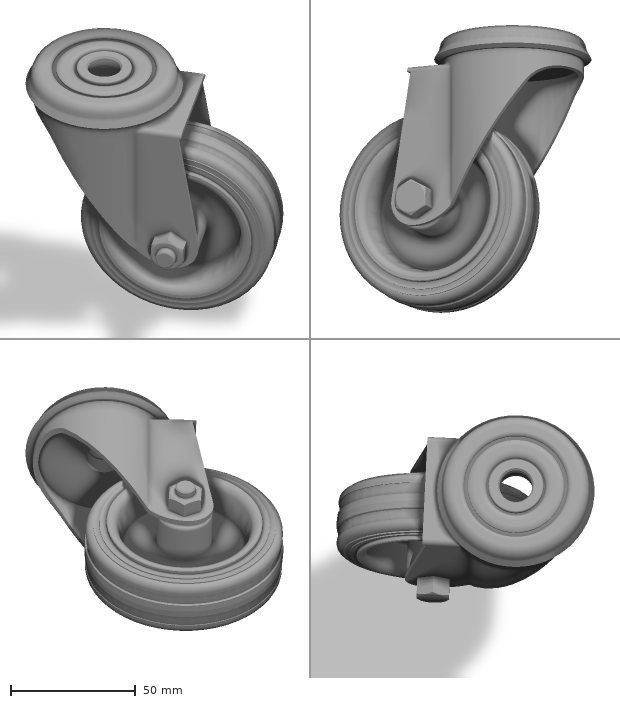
import cadquery as cq
import math

swivel_angle = 12.0
total_height = 108.0
trail = 32.0
wheel_radius = 40.0
axle_height = wheel_radius

head_radius = 31.5
head_bottom = 98.3
head_rim_height = 99.6
head_base_radius = 29.2
head_flare_radius = 29.9
head_flare_height = 102.4
head_shoulder_radius = 29.6
head_shoulder_height = 103.1
head_crown_radius = 29.3
head_crown_height = 104.8
head_flat_radius = 25.1
groove_outer_radius = 45.1 / 2
groove_floor_outer = 21.0
groove_floor_inner = 19.2
groove_floor_height = 106.4
groove_wall_top = 107.0
ring_outer_radius = 17.0
ring_inner_radius = 14.6
ring_height = 107.8
boss_radius = 22.1 / 2
boss_edge_round = 0.6
boss_groove_outer = 11.7
boss_groove_height = 106.3
bolt_hole_radius = 13.2 / 2
bolt_hole_mouth_radius = 14.5 / 2
bolt_hole_mouth_depth = 0.9
bolt_hole_depth = 4.0
head_bore_radius = bolt_hole_mouth_radius

sheet = 2.0
cup_radius = 57.0 / 2
cup_edge_fillet = 0.6
arm_outer = 22.5
arm_inner = arm_outer - sheet
shelf_top = 95.3
shelf_end = 36.5
shelf_bend = 1.9
cup_bend = 1.6
arm_top_end = 35.0
arm_tip_x = 33.5
arm_tip_radius = 9.9
mouth_height = 92.9
mouth_radius = 16.7
heel_radius = 22.0
front_edge_angle = 55.8
axle_hole_radius = 8.3 / 2

hub_radius = 22.2 / 2
hub_half = 19.4
hub_end_fillet = 1.4
hub_root_radius = 14.0
web_half = 1.5
web_radius = 23.2
wall_root_radius = 24.5
wall_root_half = 2.8
wall_lip_radius = 27.0
wall_lip_half = 11.6
rim_flat_radius = 29.6
rim_radius = 62.5 / 2
rim_half = 14.0
rim_edge_chamfer = 0.3
rim_groove_half = 12.2
flank_inner_radius = 32.0
flank_half = 12.4
ridges = ((33.3, 34.2), (35.6, 36.7))
ridge_rise = 0.2
flank_drop = 0.3
tread_shoulder_half = 8.9
tread_shoulder_radius = 39.5
tread_shoulder_round = 2.9
groove_outer_half = 7.6
groove_inner_half = 3.3
groove_radius = 39.1
crown_half = 2.9
crown_edge_radius = 39.7

shank_radius = 8.0 / 2
shank_end = 32.4
shank_chamfer = 0.5
hex_sides = 6
hex_flats = 13.0
hex_chamfer_radius = 12.3 / 2
hex_chamfer_angle = 30.0
head_thickness = 7.3
nut_thickness = 6.8
nut_turn = 3.0


def make_head():
    """Domed disc with two ring grooves around a central boss, bored for the fixing bolt."""
    flank_run = groove_floor_inner - ring_outer_radius
    flank_rise = ring_height - groove_wall_top
    ring_crest_radius = (flank_run**2 + flank_rise**2) / (2 * flank_rise)
    dome = (
        cq.Workplane("XZ")
        .moveTo(head_bore_radius, head_bottom)
        .lineTo(head_base_radius, head_bottom)
        .lineTo(head_radius, head_rim_height)
        .lineTo(head_flare_radius, head_flare_height)
        .tangentArcPoint((head_shoulder_radius, head_shoulder_height), relative=False)
        .lineTo(head_crown_radius, head_crown_height)
        .tangentArcPoint((head_flat_radius, total_height), relative=False)
        .lineTo(groove_outer_radius, total_height)
        .tangentArcPoint((groove_floor_outer, groove_wall_top), relative=False)
        .lineTo(groove_floor_outer, groove_floor_height)
        .lineTo(groove_floor_inner, groove_floor_height)
        .lineTo(groove_floor_inner, groove_wall_top)
        .radiusArc((ring_outer_radius, ring_height), -ring_crest_radius)
        .lineTo(ring_inner_radius, ring_height)
        .tangentArcPoint((boss_groove_outer, boss_groove_height), relative=False)
        .lineTo(boss_radius, boss_groove_height)
        .lineTo(boss_radius, total_height - boss_edge_round)
        .tangentArcPoint((boss_radius - boss_edge_round, total_height), relative=False)
        .lineTo(bolt_hole_mouth_radius, total_height)
        .lineTo(bolt_hole_radius, total_height - bolt_hole_mouth_depth)
        .lineTo(bolt_hole_radius, total_height - bolt_hole_depth)
        .lineTo(head_bore_radius, total_height - bolt_hole_depth)
        .close()
    )
    return dome.revolve(360, (0, 0, 0), (0, 1, 0))


def fork_side_outline():
    """Side outline of the fork, extruded right across its width."""
    slope = math.radians(front_edge_angle)
    shelf_bottom = shelf_top - sheet
    tip_bottom = axle_height - arm_tip_radius

    heel_x = arm_tip_x - heel_radius * math.sin(slope)
    heel_z = tip_bottom + heel_radius * (1 - math.cos(slope))
    slope_top_z = mouth_height - mouth_radius * (1 - math.cos(slope))
    slope_top_x = heel_x - (slope_top_z - heel_z) / math.tan(slope)
    mouth_x = slope_top_x - mouth_radius * math.sin(slope)

    rise = shelf_bottom - axle_height
    run = arm_top_end - arm_tip_x
    contact = math.atan2(rise, run) - math.acos(arm_tip_radius / math.hypot(rise, run))
    contact_x = arm_tip_x + arm_tip_radius * math.cos(contact)
    contact_z = axle_height + arm_tip_radius * math.sin(contact)

    return (
        cq.Workplane("XZ")
        .moveTo(mouth_x - sheet, head_bottom)
        .lineTo(mouth_x - sheet, mouth_height)
        .lineTo(mouth_x, mouth_height)
        .tangentArcPoint((slope_top_x, slope_top_z), relative=False)
        .lineTo(heel_x, heel_z)
        .tangentArcPoint((arm_tip_x, tip_bottom), relative=False)
        .tangentArcPoint((contact_x, contact_z), relative=False)
        .lineTo(arm_top_end, shelf_bottom)
        .lineTo(shelf_end, shelf_bottom)
        .lineTo(shelf_end, head_bottom)
        .close()
        .extrude(cup_radius, both=True)
    )


def cup_and_block(radius, half_width, cup_top, block_top):
    """Upright cylinder on the swivel axis joined to a block that reaches back past the axle."""
    cup = cq.Workplane("XY").circle(radius).extrude(cup_top)
    block_length = trail + wheel_radius
    block = cq.Workplane("XY").box(block_length, 2 * half_width, block_top, centered=(False, True, False))
    return cup.union(block)


def axle_hole(radius):
    """Cylinder along the axle, long enough to cut through every part on it."""
    return (
        cq.Workplane("XZ", origin=(trail, 0, axle_height))
        .circle(radius)
        .extrude(2 * arm_outer, both=True)
    )


def make_fork():
    """Pressed sheet fork: round cup under the head, shelf behind it and two flat arms."""
    outside = cup_and_block(cup_radius, arm_outer, head_bottom, shelf_top)
    outside = outside.faces(">Z").edges().fillet(cup_edge_fillet)
    shelf = outside.faces("|Z").faces(cq.selectors.NearestToPointSelector((shelf_end, 0, shelf_top)))
    outside = outside.newObject(shelf.edges("|X").vals()).fillet(shelf_bend)
    shelf_root = cq.selectors.BoxSelector(
        (0, -arm_outer, shelf_top - sheet / 2), (cup_radius, arm_outer, shelf_top + sheet / 2)
    )
    outside = outside.edges(shelf_root).edges("%CIRCLE").fillet(cup_bend)

    inside = cup_and_block(cup_radius - sheet, arm_inner, head_bottom - sheet, shelf_top - sheet)
    swivel_hole = cq.Workplane("XY").circle(head_bore_radius).extrude(total_height)
    return (
        outside.cut(inside)
        .cut(swivel_hole)
        .intersect(fork_side_outline())
        .cut(axle_hole(axle_hole_radius))
    )


def make_wheel():
    """Wheel with a grooved tread, deep rim, thin web and a long hub, bored for the bolt."""
    half = (
        cq.Workplane("XY")
        .moveTo(axle_hole_radius, 0)
        .lineTo(axle_hole_radius, hub_half)
        .lineTo(hub_radius - hub_end_fillet, hub_half)
        .tangentArcPoint((hub_radius, hub_half - hub_end_fillet), relative=False)
        .lineTo(hub_radius, web_half + hub_root_radius - hub_radius)
        .tangentArcPoint((hub_root_radius, web_half), relative=False)
        .lineTo(web_radius, web_half)
        .tangentArcPoint((wall_root_radius, wall_root_half), relative=False)
        .lineTo(wall_lip_radius, wall_lip_half)
        .tangentArcPoint((rim_flat_radius, rim_half), relative=False)
        .lineTo(rim_radius - rim_edge_chamfer, rim_half)
        .lineTo(rim_radius, rim_half - rim_edge_chamfer)
        .lineTo(rim_radius, rim_groove_half)
        .lineTo(flank_inner_radius, flank_half)
    )
    level = flank_half
    for inner, outer in ridges:
        half = half.lineTo(inner, level).lineTo(outer, level + ridge_rise)
        level -= flank_drop
        half = half.lineTo(outer, level)
    half = (
        half
        .radiusArc((tread_shoulder_radius, tread_shoulder_half), tread_shoulder_round)
        .lineTo(tread_shoulder_radius, groove_outer_half)
        .lineTo(groove_radius, groove_outer_half)
        .lineTo(groove_radius, groove_inner_half)
        .lineTo(crown_edge_radius, crown_half)
        .lineTo(wheel_radius, 0)
        .close()
        .revolve(360, (0, 0, 0), (0, 1, 0))
    )
    return half.union(half.mirror("XZ")).translate((trail, 0, axle_height))


def chamfered_hexagon(start, thickness):
    """Hexagon along -Y from y = start, corners up and down, with its far corners chamfered."""
    corner_radius = hex_flats / math.sqrt(3)
    corner_turn = 360 / hex_sides / 2
    prism = cq.Workplane("XZ").polygon(hex_sides, 2 * corner_radius).extrude(thickness)
    prism = prism.rotate((0, 0, 0), (0, 1, 0), corner_turn)
    chamfer_drop = (corner_radius - hex_chamfer_radius) * math.tan(math.radians(hex_chamfer_angle))
    envelope = (
        cq.Workplane("XY")
        .moveTo(0, 0)
        .lineTo(corner_radius, 0)
        .lineTo(corner_radius, chamfer_drop - thickness)
        .lineTo(hex_chamfer_radius, -thickness)
        .lineTo(0, -thickness)
        .close()
        .revolve(360, (0, 0, 0), (0, 1, 0))
    )
    return prism.intersect(envelope).translate((0, start, 0))


def make_bolt():
    """Hexagon head outside the +Y arm and a shank that passes out through the nut."""
    shank = (
        cq.Workplane("XZ", origin=(0, arm_outer, 0))
        .circle(shank_radius)
        .extrude(arm_outer + shank_end)
        .faces("<Y")
        .chamfer(shank_chamfer)
    )
    head = chamfered_hexagon(-arm_outer, head_thickness).mirror("XZ")
    return head.union(shank).translate((trail, 0, axle_height))


def make_nut():
    """Hexagon nut outside the -Y arm."""
    nut = chamfered_hexagon(-arm_outer, nut_thickness).rotate((0, 0, 0), (0, 1, 0), nut_turn)
    nut = nut.translate((trail, 0, axle_height))
    return nut.cut(axle_hole(shank_radius))


def swivelled(body):
    """Solid of a body, turned with the trailing wheel about the swivel axis."""
    return body.rotate((0, 0, 0), (0, 0, 1), swivel_angle).val()


head = make_head().val()
fork = swivelled(make_fork())
wheel = swivelled(make_wheel())
bolt = swivelled(make_bolt())
nut = swivelled(make_nut())

result = cq.Compound.makeCompound([head, fork, wheel, bolt, nut])